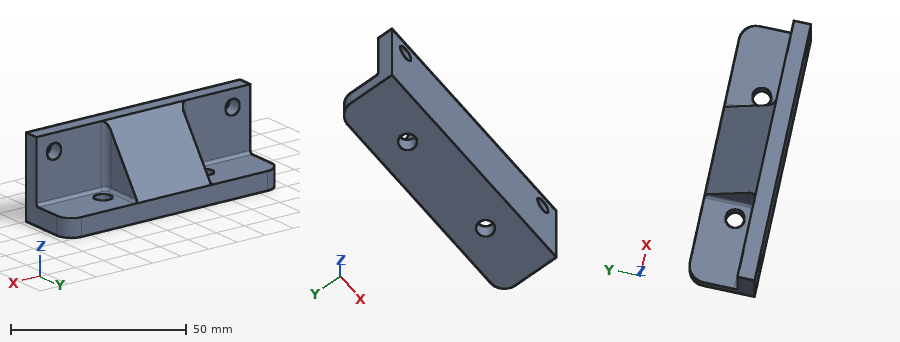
import cadquery as cq

length = 76.0
depth = 20.0
height = 27.0

wall_thickness = 5.0
base_thickness = 6.0
base_corner_radius = 5.0
rib_width = 26.0
rib_corner_radius = 2.0
floor_fillet = 1.0

wall_hole_diameter = 5.0
wall_hole_spacing = 63.4
wall_hole_drop = 5.6
base_hole_diameter = 5.4
base_hole_spacing = 36.0
base_hole_y = 10.0

overrun = 7.6


def side_recess():
    """Space at the +X side of the rib, with rounded inner edges."""
    size_x = (length - rib_width) / 2 + overrun
    size_y = depth - wall_thickness + overrun
    size_z = height - base_thickness + overrun
    return (
        cq.Workplane("XY")
        .box(size_x, size_y, size_z, centered=False)
        .edges("|Z and <X and <Y")
        .fillet(rib_corner_radius)
        .faces("<Z")
        .edges()
        .fillet(floor_fillet)
        .translate((rib_width / 2, wall_thickness, base_thickness))
    )


def through_holes(plane, diameter, spacing, offset):
    """Pair of hole cutters, symmetric in X, running both ways from the plane."""
    return (
        cq.Workplane(plane)
        .pushPoints([(-spacing / 2, offset), (spacing / 2, offset)])
        .circle(diameter / 2)
        .extrude(height, both=True)
    )


body = (
    cq.Workplane("YZ")
    .polyline([
        (0, 0),
        (depth, 0),
        (depth, base_thickness),
        (wall_thickness, height),
        (0, height),
    ])
    .close()
    .extrude(length / 2, both=True)
)

recess = side_recess()
body = body.cut(recess).cut(recess.mirror("YZ"))

body = body.edges("|Z and >Y").fillet(base_corner_radius)

wall_holes = through_holes("XZ", wall_hole_diameter, wall_hole_spacing, height - wall_hole_drop)
base_holes = through_holes("XY", base_hole_diameter, base_hole_spacing, base_hole_y)

result = body.cut(wall_holes).cut(base_holes)